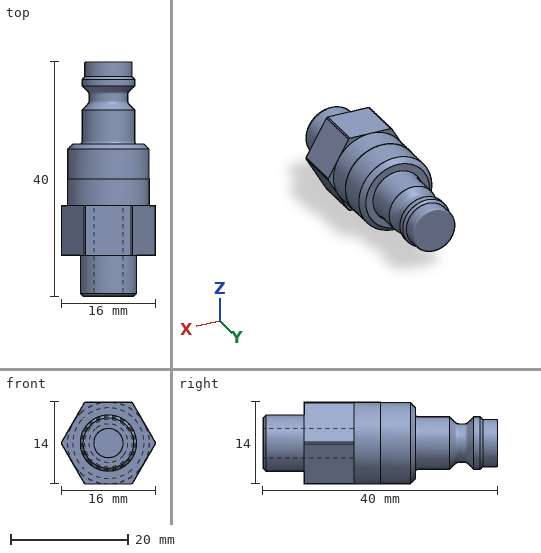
import cadquery as cq
import math


total_length = 40.0
thread_end_y = -total_length / 2
nose_end_y = total_length / 2
thread_length = 7.0
hex_length = 8.5
collar_length = 4.5
body_length = 6.0
hex_start_y = thread_end_y + thread_length
collar_start_y = hex_start_y + hex_length
body_start_y = collar_start_y + collar_length
shoulder_y = body_start_y + body_length

thread_radius = 4.8
thread_chamfer = 0.5
hex_across_flats = 14.0
hex_corner_radius = 8.0

collar_radius = hex_across_flats / 2
body_radius = 6.95
body_chamfer = 0.9

stem_radius = 4.5
stem_length = 5.8
root_flare_radius = 0.65
neck_radius = 3.3
neck_stem_fillet = 0.8
neck_ridge_fillet = 0.6
ridge_length = 1.1
nose_radius = 4.05
nose_length = 2.55
nose_edge_fillet = 0.3

ridge_chamfer = stem_radius - nose_radius
stem_end_y = shoulder_y + stem_length
ridge_end_y = nose_end_y - nose_length
ridge_flat_end_y = ridge_end_y - ridge_chamfer
ridge_start_y = ridge_flat_end_y - ridge_length
cone_length = stem_radius - neck_radius
blend_setback = math.tan(math.pi / 8)
neck_start_y = stem_end_y + cone_length + neck_stem_fillet * blend_setback
neck_end_y = ridge_start_y - cone_length - neck_ridge_fillet * blend_setback
root_flare_length = root_flare_radius * math.sin(math.pi / 4)

bore_radius = 2.5
bore_depth = thread_length + hex_length


def blend_points(start_radius, start_y, arc_radius, direction):
    """Start, middle and end of an arc that flares a cylinder out to 45 degrees along +Y or -Y."""

    def arc_point(angle):
        radius = start_radius + arc_radius * (1 - math.cos(angle))
        return radius, start_y + direction * arc_radius * math.sin(angle)

    return arc_point(0), arc_point(math.pi / 8), arc_point(math.pi / 4)


def make_turned_body():
    """Revolve the half profile, given as (radius, y) points."""
    stem_blend = blend_points(neck_radius, neck_start_y, neck_stem_fillet, -1)
    ridge_blend = blend_points(neck_radius, neck_end_y, neck_ridge_fillet, 1)
    root_blend = blend_points(stem_radius, shoulder_y + root_flare_length, root_flare_radius, -1)
    nose_bulge = nose_edge_fillet * (1 - math.cos(math.pi / 4))
    profile = (
        cq.Workplane("XY")
        .moveTo(0, thread_end_y)
        .lineTo(thread_radius - thread_chamfer, thread_end_y)
        .lineTo(thread_radius, thread_end_y + thread_chamfer)
        .lineTo(thread_radius, hex_start_y)
        .lineTo(collar_radius, hex_start_y)
        .lineTo(collar_radius, body_start_y)
        .lineTo(body_radius, body_start_y)
        .lineTo(body_radius, shoulder_y - body_chamfer)
        .lineTo(body_radius - body_chamfer, shoulder_y)
        .lineTo(*root_blend[2])
        .threePointArc(root_blend[1], root_blend[0])
        .lineTo(stem_radius, stem_end_y)
        .lineTo(*stem_blend[2])
        .threePointArc(stem_blend[1], stem_blend[0])
        .lineTo(*ridge_blend[0])
        .threePointArc(ridge_blend[1], ridge_blend[2])
        .lineTo(stem_radius, ridge_start_y)
        .lineTo(stem_radius, ridge_flat_end_y)
        .lineTo(nose_radius, ridge_end_y)
        .lineTo(nose_radius, nose_end_y - nose_edge_fillet)
        .threePointArc(
            (nose_radius - nose_bulge, nose_end_y - nose_bulge),
            (nose_radius - nose_edge_fillet, nose_end_y),
        )
        .lineTo(0, nose_end_y)
        .close()
    )
    return profile.revolve(360, (0, 0, 0), (0, 1, 0))


def cylinder_from(start_y, radius, length):
    """Cylinder on the Y axis running toward +Y."""
    return cq.Workplane("XZ", origin=(0, start_y, 0)).circle(radius).extrude(-length)


def make_hexagon():
    """Wrench hexagon with flats on top and bottom and slightly truncated corners."""
    across_corners = hex_across_flats / math.cos(math.pi / 6)
    prism = cq.Workplane("XZ", origin=(0, hex_start_y, 0)).polygon(6, across_corners).extrude(-hex_length)
    return prism.intersect(cylinder_from(hex_start_y, hex_corner_radius, hex_length))


bore = cylinder_from(thread_end_y, bore_radius, bore_depth)
result = make_turned_body().union(make_hexagon()).cut(bore)